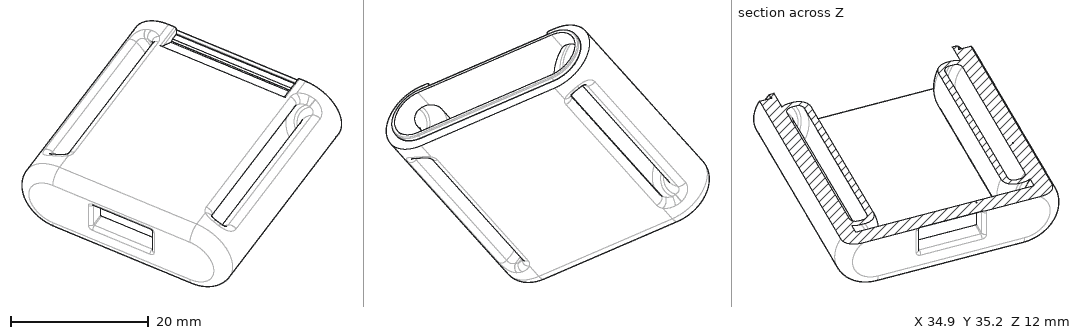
import cadquery as cq

length = 35.2
width = 34.9
height = 12.0
end_radius = height / 2
end_center_x = width / 2 - end_radius
front_y = -length / 2
back_y = length / 2
front_fillet = 2.0

collar_length = 0.85
collar_radius = 4.58
collar_rounding = 0.15
body_back_y = back_y - collar_length

wall = 1.0
front_wall = 2.65
cavity_radius = 4.0

arch_center_x = 17.53
arch_inner_radius = 5.0
arch_outer_radius = 7.25
channel_front_y = -12.8
channel_back_y = 13.8
channel_corner = 0.88
channel_fillet = 1.0

window_width = 9.85
window_height = 4.5
window_z = 0.7
window_corner = 0.15
window_rounding = 0.55

notch_width = 20.3
notch_front_y = 12.5
ramp_end_y = 15.15
notch_floor_z = 4.35
step_start_y = 15.4
step_end_y = 15.65
notch_rounding = 0.28

margin = 0.05


def racetrack(radius, start_y, end_y):
    """Racetrack bar along Y between two Y positions."""
    return (
        cq.Workplane("XZ", origin=(0, start_y, 0))
        .slot2D(2 * (end_center_x + radius), 2 * radius)
        .extrude(start_y - end_y)
    )


def edge_box(low_corner, high_corner):
    """Selector for the edges that lie wholly inside a box."""
    return cq.selectors.BoxSelector(low_corner, high_corner, boundingbox=True)


def both_sides(solid):
    """The solid together with its mirror image on the other side of X."""
    return solid, solid.mirror("YZ")


def arched_channel(growth):
    """Ring around an axis along Y whose inner part is the +X strap passage, grown by a thickness."""
    inner = arch_inner_radius - growth
    outer = arch_outer_radius + growth
    middle = (inner + outer) / 2
    span_y = channel_back_y - channel_front_y + 2 * growth
    section = (
        cq.Sketch()
        .rect(outer - inner, span_y)
        .vertices()
        .fillet(channel_corner + growth)
        .moved(cq.Location(cq.Vector(-middle, 0, 0)))
    )
    return (
        cq.Workplane("XY", origin=(arch_center_x, (channel_front_y + channel_back_y) / 2, 0))
        .placeSketch(section)
        .revolve(360, (0, 0, 0), (0, 1, 0))
    )


def make_cavity():
    """Racetrack hollow that leaves a wall around each strap channel."""
    cavity = racetrack(cavity_radius, front_y + front_wall, back_y)
    for shell in both_sides(arched_channel(wall)):
        cavity = cavity.cut(shell)
    return cavity


def cut_window(body):
    """Window through the front wall with a rounded outer rim."""
    window = (
        cq.Workplane("XZ", origin=(0, front_y, window_z))
        .rect(window_width, window_height)
        .extrude(-front_wall)
        .edges("|Y")
        .fillet(window_corner)
    )
    rim = edge_box(
        (-window_width / 2 - margin, front_y - margin, window_z - window_height / 2 - margin),
        (window_width / 2 + margin, front_y + margin, window_z + window_height / 2 + margin),
    )
    return body.cut(window).edges(rim).fillet(window_rounding)


def cut_notch(body):
    """Thumb notch with rounded side edges."""
    notch = (
        cq.Workplane("YZ")
        .moveTo(notch_front_y, end_radius)
        .lineTo(ramp_end_y, notch_floor_z)
        .lineTo(step_start_y, notch_floor_z)
        .lineTo(step_end_y, collar_radius)
        .lineTo(body_back_y, collar_radius)
        .lineTo(body_back_y, end_radius)
        .close()
        .extrude(notch_width / 2, both=True)
    )
    side_edges = edge_box(
        (-notch_width / 2 - margin, notch_front_y - margin, end_radius - margin),
        (notch_width / 2 + margin, body_back_y + margin, end_radius + margin),
    )
    return body.cut(notch).edges(side_edges).edges("|Y").fillet(notch_rounding)


body = racetrack(end_radius, front_y, body_back_y).faces("<Y").edges().fillet(front_fillet)

for channel in both_sides(arched_channel(0)):
    body = body.cut(channel)
rim_z = end_radius / 2
for low_z, high_z in ((rim_z, height), (-height, -rim_z)):
    channel_rims = edge_box(
        (-width, channel_front_y - margin, low_z),
        (width, channel_back_y + margin, high_z),
    )
    body = body.edges(channel_rims).fillet(channel_fillet)

body = cut_notch(body)
collar = racetrack(collar_radius, body_back_y, back_y).edges("#Y").fillet(collar_rounding)
body = body.union(collar)

body = body.cut(make_cavity())
result = cut_window(body)